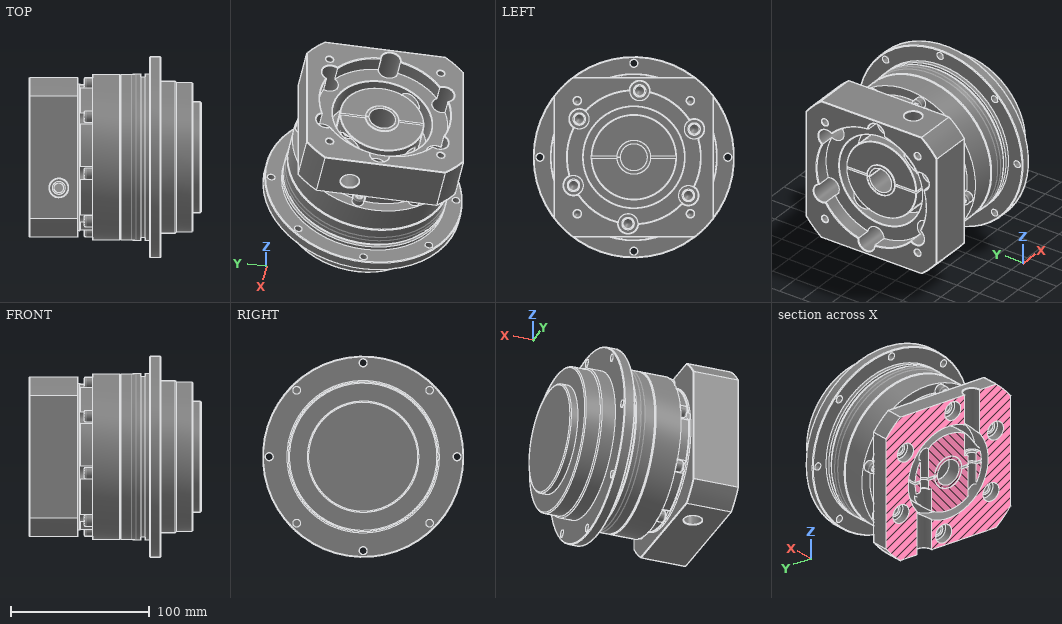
import cadquery as cq
import math


PLATE_HALF_WIDTH = 57.5
PLATE_THICKNESS = 35.2
PLATE_CORNER_RADIUS = 72.5
PLATE_CHAMFER = 0.5
PILOT_RADIUS = 48.0
PILOT_CHAMFER = 0.6
PILOT_DEPTH = 11.9
PLATE_BORE_RADIUS = 36.5
PLATE_BORE_CHAMFER = 0.5

FIXING_COUNT = 6
FIXING_FIRST_ANGLE = 5.0
FIXING_CIRCLE_RADIUS = 48.0
FIXING_SINK_RADIUS = 7.1
FIXING_SINK_CHAMFER = 0.5
FIXING_SINK_DEPTH = 27.5
FIXING_HOLE_RADIUS = 3.6
FIXING_HOLE_DEPTH = 5.1
FIXING_CHAMFER = 0.9

MOUNT_OFFSET = 40.7
MOUNT_HOLE_RADIUS = 2.8
MOUNT_CHAMFER = 0.3
MOUNT_HOLE_DEPTH = 17.4
DRILL_POINT_ANGLE = 118.0

HUB_START = 12.8
HUB_RADIUS = 30.7
HUB_CHAMFER = 0.5
HUB_SLIT_WIDTH = 1.6
HUB_SLIT_END = 29.0
CLAMP_X = 21.3
CLAMP_OFFSET = 22.0
CLAMP_HOLE_RADIUS = 3.5
CLAMP_CHAMFER = 1.2
CLAMP_SINK_FLOOR = 8.7
ACCESS_RADIUS = 6.7
ACCESS_CHAMFER = 0.5

BUSHING_PROTRUSION = 0.9
BUSHING_END = 31.9
BUSHING_OUTER_RADIUS = 12.2
BUSHING_BORE_RADIUS = 9.7
BUSHING_SLIT_WIDTH = 0.5

BOSS_FLOOR = 36.4
BODY_START = 45.7
JOINT_X = 65.7
LEAD_IN_START = 73.8
RING_START = 76.8
GROOVE_START = 80.5
GROOVE_END = 83.5
FLANGE_START = 86.7
FLANGE_END = 94.8
SHOULDER_END = 105.1
NOSE_END = 118.0
OUTPUT_END = 124.0

BOSS_RADIUS = 52.5
COLLAR_RADIUS = 52.9
BODY_RADIUS = 59.7
RING_RADIUS = 60.2
GROOVE_RADIUS = 58.0
FLANGE_RADIUS = 72.5
SHOULDER_RADIUS = 55.0
NOSE_RADIUS = 54.0
OUTPUT_RADIUS = 40.2
JOINT_CHAMFER = 0.6
FLANGE_CHAMFER = 0.6
NOSE_CHAMFER = 0.9
OUTPUT_CHAMFER = 0.9

FLANGE_HOLE_COUNT = 8
FLANGE_HOLE_CIRCLE_RADIUS = 67.7
FLANGE_HOLE_RADIUS = 2.8

HEAD_COUNT = 8
HEAD_FIRST_ANGLE = 12.5
HEAD_CIRCLE_RADIUS = 54.5
HEAD_RADIUS = 4.2
HEAD_START = 39.6
HEAD_FILLET = 1.2
HEAD_SOCKET_WIDTH = 4.0
HEAD_SOCKET_DEPTH = 2.2
HEAD_POCKET_RADIUS = 5.2


def rod(x_start, x_end, radius, y=0.0, z=0.0):
    """A cylinder parallel to X."""
    return cq.Workplane("YZ", origin=(x_start, y, z)).circle(radius).extrude(x_end - x_start)


def revolved(profile):
    """A solid of revolution about X from (x, radius) points."""
    return cq.Workplane("XY").polyline(profile).close().revolve(360, (0, 0, 0), (1, 0, 0))


def ring_places(count, radius, first_angle):
    """(y, z) places spaced evenly on a circle; angles run from +Z towards -Y."""
    angles = [math.radians(first_angle + i * 360 / count) for i in range(count)]
    return [(-radius * math.sin(a), radius * math.cos(a)) for a in angles]


def chamfered_bore(x_start, x_end, radius, chamfer, y=0.0, z=0.0):
    """A flat-bottomed cutter along +X with a 45 degree chamfer at its mouth."""
    profile = [
        (x_start, 0),
        (x_start, radius + chamfer),
        (x_start + chamfer, radius),
        (x_end, radius),
        (x_end, 0),
    ]
    return revolved(profile).translate((0, y, z))


def drilled_hole(x_start, depth, radius, chamfer, y, z):
    """A blind hole along +X with a chamfered mouth and a conical drill point."""
    point_depth = radius / math.tan(math.radians(DRILL_POINT_ANGLE / 2))
    profile = [
        (x_start, 0),
        (x_start, radius + chamfer),
        (x_start + chamfer, radius),
        (x_start + depth, radius),
        (x_start + depth + point_depth, 0),
    ]
    return revolved(profile).translate((0, y, z))


def clamp_hole(side, z_from, z_to, radius, chamfer=0.0):
    """A cutter along Z on the clamp screw axis; side -1 opens at +Z, side +1 opens at -Z.

    z_from and z_to are heights measured towards the opening; a chamfer widens the mouth at z_to.
    """
    start = cq.Workplane("XY", origin=(CLAMP_X, -CLAMP_OFFSET, z_from))
    cutter = start.circle(radius).extrude(z_to - z_from)
    if chamfer:
        mouth = (
            cq.Workplane("XY", origin=(CLAMP_X, -CLAMP_OFFSET, z_to - chamfer))
            .circle(radius)
            .workplane(offset=chamfer)
            .circle(radius + chamfer)
            .loft()
        )
        cutter = cutter.union(mouth)
    if side > 0:
        cutter = cutter.rotate((0, 0, 0), (1, 0, 0), 180)
    return cutter


def make_plate():
    width = 2 * PLATE_HALF_WIDTH
    plate = cq.Workplane("YZ").rect(width, width).extrude(PLATE_THICKNESS)
    plate = plate.intersect(rod(0, PLATE_THICKNESS, PLATE_CORNER_RADIUS))
    plate = plate.faces("<X or >X").chamfer(PLATE_CHAMFER)

    plate = plate.cut(chamfered_bore(0, PILOT_DEPTH, PILOT_RADIUS, PILOT_CHAMFER))
    plate = plate.cut(
        chamfered_bore(PILOT_DEPTH, PLATE_THICKNESS, PLATE_BORE_RADIUS, PLATE_BORE_CHAMFER)
    )

    for y, z in ring_places(FIXING_COUNT, FIXING_CIRCLE_RADIUS, FIXING_FIRST_ANGLE):
        plate = plate.cut(
            chamfered_bore(0, FIXING_SINK_DEPTH, FIXING_SINK_RADIUS, FIXING_SINK_CHAMFER, y, z)
        )
        plate = plate.cut(
            drilled_hole(FIXING_SINK_DEPTH, FIXING_HOLE_DEPTH, FIXING_HOLE_RADIUS, FIXING_CHAMFER, y, z)
        )
    for y in (-MOUNT_OFFSET, MOUNT_OFFSET):
        for z in (-MOUNT_OFFSET, MOUNT_OFFSET):
            plate = plate.cut(drilled_hole(0, MOUNT_HOLE_DEPTH, MOUNT_HOLE_RADIUS, MOUNT_CHAMFER, y, z))
    for side in (-1, 1):
        plate = plate.cut(clamp_hole(side, 0, PLATE_HALF_WIDTH, ACCESS_RADIUS, ACCESS_CHAMFER))
    return plate


def make_hub():
    hub = rod(HUB_START, PLATE_THICKNESS, HUB_RADIUS).faces("<X").edges().chamfer(HUB_CHAMFER)
    hub = hub.cut(rod(HUB_START, BUSHING_END, BUSHING_OUTER_RADIUS))
    slit_depth = HUB_SLIT_END - HUB_START
    slit = cq.Workplane("XY").box(
        slit_depth, 2 * HUB_RADIUS, HUB_SLIT_WIDTH, centered=(False, True, True)
    )
    hub = hub.cut(slit.translate((HUB_START, 0, 0)))
    for side in (-1, 1):
        hub = hub.cut(clamp_hole(side, CLAMP_SINK_FLOOR, HUB_RADIUS, ACCESS_RADIUS))
        hub = hub.cut(
            clamp_hole(side, -HUB_RADIUS, CLAMP_SINK_FLOOR, CLAMP_HOLE_RADIUS, CLAMP_CHAMFER)
        )
    return hub


def make_bushing():
    start = HUB_START - BUSHING_PROTRUSION
    bushing = rod(start, BUSHING_END, BUSHING_OUTER_RADIUS)
    bushing = bushing.cut(rod(start, BUSHING_END, BUSHING_BORE_RADIUS))
    slit = cq.Workplane("XY").box(
        BUSHING_END - start, BUSHING_OUTER_RADIUS, BUSHING_SLIT_WIDTH, centered=(False, False, True)
    )
    return bushing.cut(slit.translate((start, 0, 0)))


def make_screw_head(y, z):
    """A rounded cap screw head with a hexagon socket."""
    head = rod(HEAD_START, BODY_START, HEAD_RADIUS, y, z).faces("<X").edges().fillet(HEAD_FILLET)
    corner_diameter = HEAD_SOCKET_WIDTH / math.cos(math.pi / 6)
    socket = (
        cq.Workplane("YZ", origin=(HEAD_START, y, z))
        .polygon(6, corner_diameter)
        .extrude(HEAD_SOCKET_DEPTH)
    )
    return head.cut(socket)


def make_housing():
    collar_step = COLLAR_RADIUS - BOSS_RADIUS
    shoulder_step = SHOULDER_RADIUS - NOSE_RADIUS
    profile = [
        (PLATE_THICKNESS, 0),
        (PLATE_THICKNESS, COLLAR_RADIUS),
        (BOSS_FLOOR, COLLAR_RADIUS),
        (BOSS_FLOOR + collar_step, BOSS_RADIUS),
        (BODY_START, BOSS_RADIUS),
        (BODY_START, BODY_RADIUS),
        (JOINT_X - JOINT_CHAMFER, BODY_RADIUS),
        (JOINT_X, BODY_RADIUS - JOINT_CHAMFER),
        (JOINT_X + JOINT_CHAMFER, BODY_RADIUS),
        (LEAD_IN_START, BODY_RADIUS),
        (RING_START, RING_RADIUS),
        (GROOVE_START, RING_RADIUS),
        (GROOVE_START, GROOVE_RADIUS),
        (GROOVE_END, GROOVE_RADIUS),
        (GROOVE_END, RING_RADIUS),
        (FLANGE_START, RING_RADIUS),
        (FLANGE_START, FLANGE_RADIUS - FLANGE_CHAMFER),
        (FLANGE_START + FLANGE_CHAMFER, FLANGE_RADIUS),
        (FLANGE_END - FLANGE_CHAMFER, FLANGE_RADIUS),
        (FLANGE_END, FLANGE_RADIUS - FLANGE_CHAMFER),
        (FLANGE_END, SHOULDER_RADIUS),
        (SHOULDER_END, SHOULDER_RADIUS),
        (SHOULDER_END + shoulder_step, NOSE_RADIUS),
        (NOSE_END - NOSE_CHAMFER, NOSE_RADIUS),
        (NOSE_END, NOSE_RADIUS - NOSE_CHAMFER),
        (NOSE_END, OUTPUT_RADIUS),
        (OUTPUT_END - OUTPUT_CHAMFER, OUTPUT_RADIUS),
        (OUTPUT_END, OUTPUT_RADIUS - OUTPUT_CHAMFER),
        (OUTPUT_END, 0),
    ]
    housing = revolved(profile)
    for y, z in ring_places(HEAD_COUNT, HEAD_CIRCLE_RADIUS, HEAD_FIRST_ANGLE):
        housing = housing.cut(rod(BOSS_FLOOR, BODY_START, HEAD_POCKET_RADIUS, y, z))
        housing = housing.union(make_screw_head(y, z))
    for y, z in ring_places(FLANGE_HOLE_COUNT, FLANGE_HOLE_CIRCLE_RADIUS, 0):
        housing = housing.cut(rod(FLANGE_START, FLANGE_END, FLANGE_HOLE_RADIUS, y, z))
    return housing


plate = make_plate()
hub = make_hub()
bushing = make_bushing()
housing = make_housing()

result = cq.Compound.makeCompound([plate.val(), hub.val(), bushing.val(), housing.val()])